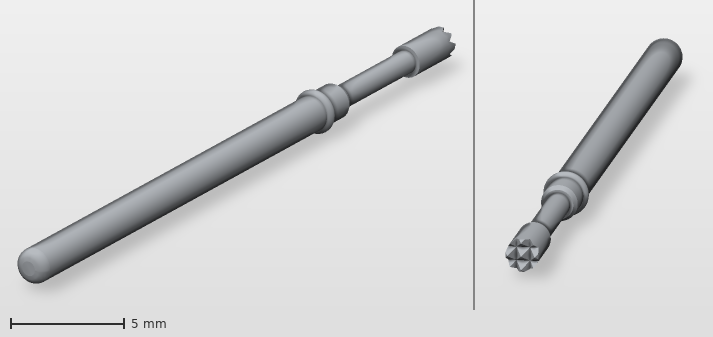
import cadquery as cq

total_length = 32.3
end_y = total_length / 2

barrel_radius = 1.65 / 2
rear_rounding = 0.5
barrel_front_y = 7.85
mouth_radius = 1.35 / 2
mouth_taper_length = 0.25

ring_radius = 2.05 / 2
ring_half_width = 0.25
ring_y = 6.1

shaft_radius = 1.05 / 2
head_radius = 1.5 / 2
head_length = 2.97
head_rear_y = end_y - head_length

teeth_across = 3
tooth_pitch = 0.6
tooth_depth = 0.55


def rod(radius, start_y, stop_y):
    """Solid cylinder along Y between two positions."""
    length = stop_y - start_y
    return cq.Workplane("XZ", origin=(0, start_y, 0)).circle(radius).extrude(-length)


def make_barrel():
    """Barrel cylinder, rounded at the rear and tapered at the mouth."""
    body = rod(barrel_radius, -end_y, barrel_front_y)
    body = body.faces("<Y").edges().fillet(rear_rounding)
    taper_width = barrel_radius - mouth_radius
    return body.faces(">Y").edges().chamfer(mouth_taper_length, taper_width)


def make_stop_ring():
    """Disc whose rim is a full round."""
    flat_radius = ring_radius - ring_half_width
    rear_y = ring_y - ring_half_width
    front_y = ring_y + ring_half_width
    profile = (
        cq.Workplane("XY")
        .moveTo(0, rear_y)
        .lineTo(flat_radius, rear_y)
        .threePointArc((ring_radius, ring_y), (flat_radius, front_y))
        .lineTo(0, front_y)
        .close()
    )
    return profile.revolve(360, (0, 0, 0), (0, 1, 0))


def make_groove(groove_x):
    """V-shaped cutter parallel to Z, with its bottom edge at one X position."""
    half_pitch = tooth_pitch / 2
    return (
        cq.Workplane("XY")
        .moveTo(groove_x, end_y - tooth_depth)
        .lineTo(groove_x + half_pitch, end_y)
        .lineTo(groove_x - half_pitch, end_y)
        .close()
        .extrude(2 * head_radius, both=True)
    )


def make_head():
    """Head cut by two crossing sets of grooves, which leave pointed teeth."""
    head = rod(head_radius, head_rear_y, end_y)
    for index in range(teeth_across + 1):
        groove = make_groove((index - teeth_across / 2) * tooth_pitch)
        head = head.cut(groove)
        head = head.cut(groove.rotate((0, 0, 0), (0, 1, 0), 90))
    return head


shaft = rod(shaft_radius, barrel_front_y, head_rear_y)

result = make_barrel().union(make_stop_ring()).union(shaft).union(make_head())